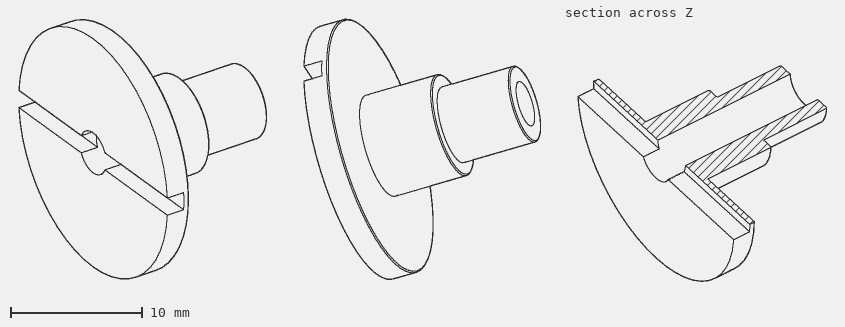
import cadquery as cq

flange_diameter = 20
flange_thickness = 2
shoulder_diameter = 8
shoulder_length = 6
spigot_diameter = 6
spigot_length = 6
bore_diameter = 3.5
slot_width = 1.5
slot_depth = 1.5
edge_chamfer = 0.1

shoulder_end = flange_thickness + shoulder_length
total_length = shoulder_end + spigot_length


def cylinder(diameter, start, end):
    """Solid cylinder along +Y between two Y positions."""
    return (
        cq.Workplane("XZ", origin=(0, start, 0))
        .circle(diameter / 2)
        .extrude(start - end)
    )


def chamfered_step(diameter, end):
    """Cylinder from the slotted face, with its rear rim chamfered."""
    return cylinder(diameter, 0, end).faces(">Y").edges().chamfer(edge_chamfer)


body = (
    chamfered_step(flange_diameter, flange_thickness)
    .union(chamfered_step(shoulder_diameter, shoulder_end))
    .union(chamfered_step(spigot_diameter, total_length))
)

bore = cylinder(bore_diameter, 0, total_length)

slot = cq.Workplane("XY").box(
    flange_diameter, slot_depth, slot_width, centered=(True, False, True)
)

result = body.cut(bore).cut(slot)